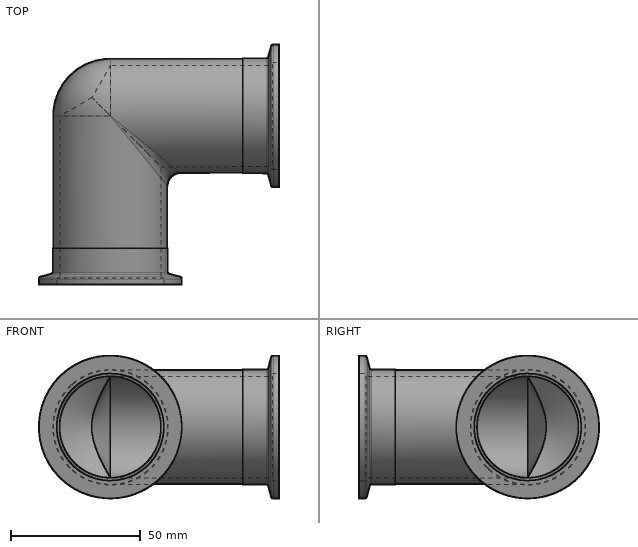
import cadquery as cq
import math

overall_size = 92.5
flange_diameter = 55.0
flange_radius = flange_diameter / 2
reach = overall_size - flange_radius
pipe_radius = 22.0
crotch_radius = 5.0

collar_radius = 22.2
collar_length = 14.1
rim_width = 3.0
taper_angle = math.radians(15)
rim_fillet = 0.9
foot_fillet = 0.6

bore_radius = 19.5
drill_tip_half_angle = math.radians(60)
recess_radius = 20.6
recess_depth = 2.6
recess_fillet = 0.2


def both_arms(arm):
    """Join an arm along +X with its twin along -Y."""
    return arm.union(arm.rotate((0, 0, 0), (0, 0, 1), -90))


def revolve_about_x(profile):
    return profile.close().revolve(360, (0, 0, 0), (1, 0, 0))


def rounded_elbow():
    """Two equal pipes meeting in a spherical corner, filleted where they cross."""
    pipe = cq.Workplane("YZ").circle(pipe_radius).extrude(reach)
    elbow = both_arms(pipe).union(cq.Workplane("XY").sphere(pipe_radius))
    return elbow.edges("%ELLIPSE").fillet(crotch_radius)


def flanged_collar():
    """Collar and flange with a tapered back, as a solid around the X axis."""
    collar_start = reach - collar_length
    rim_start = reach - rim_width
    taper_start = rim_start - (flange_radius - collar_radius) * math.tan(taper_angle)
    collar = revolve_about_x(
        cq.Workplane("XY")
        .moveTo(collar_start, 0)
        .lineTo(collar_start, collar_radius)
        .lineTo(taper_start, collar_radius)
        .lineTo(rim_start, flange_radius)
        .lineTo(reach, flange_radius)
        .lineTo(reach, 0)
    )

    def ring_at(x):
        margin = 0.1
        span = 2 * flange_radius
        return cq.selectors.BoxSelector(
            (x - margin, -span, -span), (x + margin, span, span), boundingbox=True
        )

    collar = collar.edges(ring_at(rim_start)).fillet(rim_fillet)
    return collar.edges(ring_at(taper_start)).fillet(foot_fillet)


def bore():
    """Bore with a drill point past the corner and a stepped recess at the face."""
    drill_tip = bore_radius / math.tan(drill_tip_half_angle)
    drilled = revolve_about_x(
        cq.Workplane("XY")
        .moveTo(-drill_tip, 0)
        .lineTo(0, bore_radius)
        .lineTo(reach, bore_radius)
        .lineTo(reach, 0)
    )
    recess = (
        cq.Workplane("YZ")
        .workplane(offset=reach - recess_depth)
        .circle(recess_radius)
        .extrude(recess_depth)
        .edges("<X")
        .fillet(recess_fillet)
    )
    return drilled.union(recess)


result = rounded_elbow().union(both_arms(flanged_collar())).cut(both_arms(bore()))